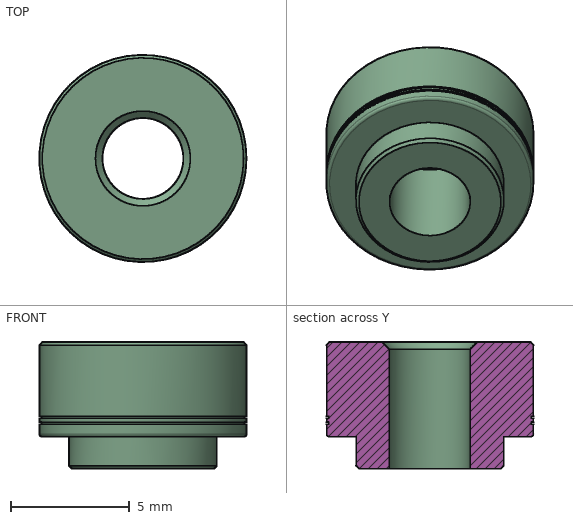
import cadquery as cq

body_diameter = 8.74
body_height = 4.0
spigot_diameter = 6.24
total_height = 5.35
spigot_height = total_height - body_height

bore_diameter = 3.4
countersink_diameter = 4.0
countersink_angle = 90.0

edge_chamfer = 0.13
body_bottom_fillet = 0.13

groove_width = 0.08
groove_depth = 0.08
groove_offsets = (0.54, 0.79)


def make_body():
    """Wide cylinder, chamfered at the top and rounded at the bottom."""
    body = cq.Workplane("XY", origin=(0, 0, spigot_height)).circle(body_diameter / 2).extrude(body_height)
    return body.faces(">Z").edges().chamfer(edge_chamfer).faces("<Z").edges().fillet(body_bottom_fillet)


def make_spigot():
    """Narrow cylinder under the body, chamfered at its free end."""
    spigot = cq.Workplane("XY").circle(spigot_diameter / 2).extrude(spigot_height)
    return spigot.faces("<Z").edges().chamfer(edge_chamfer)


def make_groove(offset):
    """Square-walled ring to be removed from the body surface."""
    return (
        cq.Workplane("XY", origin=(0, 0, spigot_height + offset))
        .circle(body_diameter / 2)
        .circle(body_diameter / 2 - groove_depth)
        .extrude(groove_width)
    )


bushing = make_body().union(make_spigot())
for groove_offset in groove_offsets:
    bushing = bushing.cut(make_groove(groove_offset))

result = bushing.faces(">Z").workplane(origin=(0, 0, total_height)).cskHole(
    bore_diameter, countersink_diameter, countersink_angle
)